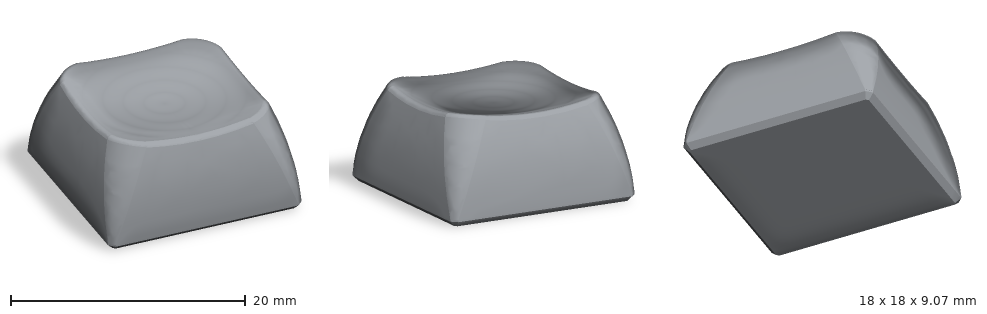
import cadquery as cq
import math

cap_width = 18.0
half_width = cap_width / 2
base_chamfer = 0.5
corner_cut = 0.5
band_height = 0.16
wall_start = base_chamfer + band_height

wall_top = 9.72
rim_height = 8.77
rim_inset = 1.5
lean_exponent = 2.25
rim_corner = 2.54
corner_swell = 0.29
section_count = 6

band_roundness = 0.1
roundness_growth = 5.0
rim_roundness = 0.7
roundness_loss = 0.3

dish_radius = 29.7
dish_floor = 7.74
rim_fillet = 0.5


def rise(z):
    """Fraction of the way from the band to the rim."""
    return (z - wall_start) / (rim_height - wall_start)


def wall_half_width(z):
    return half_width - rim_inset * rise(z) ** lean_exponent


def corner_size(z):
    growth = (rim_corner - corner_cut) * rise(z)
    swell = 4 * corner_swell * rise(z) * (1 - rise(z))
    return corner_cut + growth + swell


def corner_roundness(z):
    """Grows quickly above the band, then eases back towards the rim."""
    near_band = band_roundness + roundness_growth * rise(z)
    upper_wall = rim_roundness + roundness_loss * (1 - rise(z))
    return min(near_band, upper_wall)


def wall_section(z):
    """Square outline at height z, with an arc across each corner."""
    half = wall_half_width(z)
    size = corner_size(z)
    side_end = half - size
    chord_middle = half - size / 2
    quarter_circle_middle = side_end + size * math.sqrt(0.5)
    arc_middle = chord_middle + corner_roundness(z) * (quarter_circle_middle - chord_middle)

    corner_end = cq.Vector(side_end, half, z)
    corner = cq.Edge.makeThreePointArc(
        cq.Vector(half, side_end, z), cq.Vector(arc_middle, arc_middle, z), corner_end
    )
    side = cq.Edge.makeLine(corner_end, cq.Vector(-side_end, half, z))
    edges = []
    for quarter in range(4):
        for edge in (corner, side):
            edges.append(edge.rotate(cq.Vector(0, 0, 0), cq.Vector(0, 0, 1), 90 * quarter))
    return cq.Wire.assembleEdges(edges)


def make_base():
    """Bevelled plate and straight band under the curved walls."""
    return (
        cq.Workplane("XY")
        .rect(cap_width, cap_width)
        .extrude(wall_start)
        .edges("|Z")
        .chamfer(corner_cut)
        .faces("<Z")
        .chamfer(base_chamfer)
    )


def make_walls():
    """Curved walls, lofted through sections that shrink and round off upwards."""
    step = (wall_top - wall_start) / (section_count - 1)
    sections = [wall_section(wall_start + i * step) for i in range(section_count)]
    return cq.Workplane(cq.Solid.makeLoft(sections))


def make_cap():
    """Keycap with a spherical dish in its top and a rounded rim."""
    dish = cq.Workplane("XY").sphere(dish_radius).translate((0, 0, dish_floor + dish_radius))
    cap = make_base().union(make_walls()).cut(dish)
    dish_face = cap.faces(cq.selectors.NearestToPointSelector((0, 0, dish_floor)))
    return dish_face.edges().fillet(rim_fillet)


cap = make_cap()
result = cq.Compound.makeCompound([cap.val()])